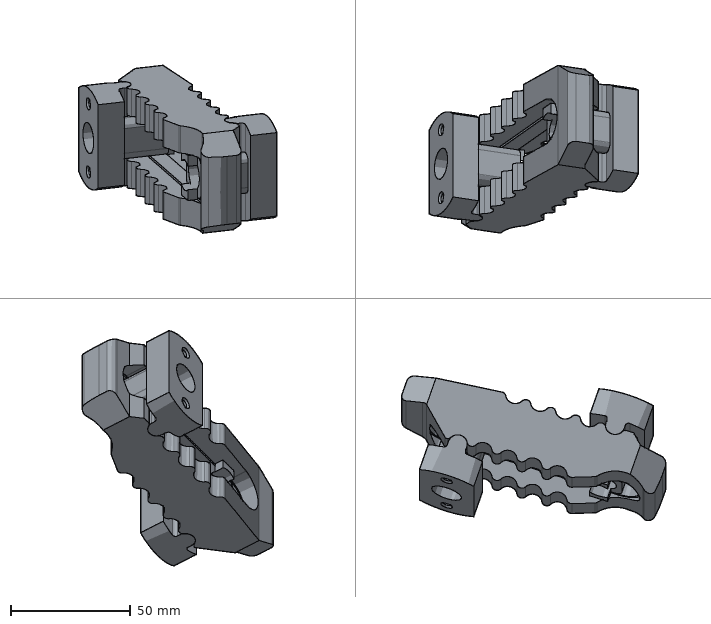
import cadquery as cq
import math

LENGTH = 115.0
HEIGHT = 44.0
DEPTH = 58.0
END = LENGTH / 2
HALF_HEIGHT = HEIGHT / 2

VALLEY_COUNT = 5
VALLEY_SPAN = 44.0
PITCH = VALLEY_SPAN / (VALLEY_COUNT - 1)
CREST_Y = 13.6
VALLEY_Y = 10.2
VALLEY_RADIUS = 4.0
WAVE_HEIGHT = CREST_Y - VALLEY_Y
RADIUS_SUM = ((PITCH / 2) ** 2 + WAVE_HEIGHT ** 2) / (2 * WAVE_HEIGHT)
CREST_RADIUS = RADIUS_SUM - VALLEY_RADIUS

FRONT_CLAMP_X = -27.6
BACK_CLAMP_X = 32.5

SHOULDER = 12.1
TAIL_BACK_Y = 10.8
TAIL_FRONT_Y = -0.9
TAIL_CORNER_RADIUS = 2.8
TAIL_NECK_X = -46.2
TAIL_NECK_RADIUS = 3.0
FRONT_SLOPE_RADIUS = 1.2

NOSE_BACK_Y = 9.2
NOSE_BACK_RADIUS = 3.0
BACK_SLOPE = CREST_Y - NOSE_BACK_Y
BACK_SLOPE_END_X = 45.4
NOSE_SIDE_Y = 2.3
NOSE_SIDE_RADIUS = 57.5
HOLLOW_X = 43.5
HOLLOW_TOP_Y = -4.4
HOLLOW_RADIUS = 14.1
HOLLOW_EDGE_RADIUS = 1.8
HOLLOW_START_X = 32.2
HOLLOW_END_X = 52.0
NOSE_TIP_X = 56.1
NOSE_TIP_RADIUS = 2.6

BEVEL_ANGLE = 30.0
BEVEL_DROP = SHOULDER * math.tan(math.radians(BEVEL_ANGLE))

SLOT_LEFT_X = -34.6
SLOT_RIGHT_X = 40.1
RECESS_WIDTH = 19.9
LEDGE_GAP = 17.8
LEDGE_Y = 3.7

BLOCK_WIDTH = 24.0
BLOCK_THICKNESS = 11.7
BLOCK_OUTER_Y = DEPTH / 2
BLOCK_INNER_Y = BLOCK_OUTER_Y - BLOCK_THICKNESS
STEM_SIZE = LEDGE_GAP
STEM_CORNER_RADIUS = 3.5
TONGUE_WIDTH = 2 * VALLEY_RADIUS
TONGUE_ROOT_RADIUS = 1.5
KEY_THICKNESS = 4.1
BORE_DIAMETER = 13.1
SCREW_OFFSET = 15.1
SCREW_DIAMETER = 3.5
SCREW_MOUTH_DIAMETER = 5.1
SCREW_DEPTH = 10.4
DRILL_POINT_ANGLE = 118.0


def crest_tangent(x, y, crest_x, side):
    """Point where the line from (x, y) touches the crest at crest_x, on the side (+1 or -1) of the arm."""
    center_y = side * (CREST_Y - CREST_RADIUS)
    distance = math.hypot(x - crest_x, y - center_y)
    spread = math.acos(CREST_RADIUS / distance)
    turn = spread * side * math.copysign(1, crest_x - x)
    angle = math.atan2(y - center_y, x - crest_x) - turn
    return crest_x + CREST_RADIUS * math.cos(angle), center_y + CREST_RADIUS * math.sin(angle)


def add_wave(outline, first_valley_x, side, end_point):
    """Draw the valleys of one side clockwise (side +1 runs along +X, -1 along -X).

    The outline must stand on the crest before the first valley, and the last crest ends at end_point.
    """
    blend = side * PITCH / 2 * VALLEY_RADIUS / RADIUS_SUM
    blend_y = side * (VALLEY_Y + WAVE_HEIGHT * VALLEY_RADIUS / RADIUS_SUM)
    for i in range(VALLEY_COUNT):
        x = first_valley_x + side * PITCH * i
        outline = (
            outline
            .radiusArc((x - blend, blend_y), CREST_RADIUS)
            .radiusArc((x + blend, blend_y), -VALLEY_RADIUS)
        )
    return outline.radiusArc(end_point, CREST_RADIUS)


def round_corner(body, x, y, radius):
    """Round the one edge along Z that stands at (x, y)."""
    reach = 0.1
    at_corner = cq.selectors.BoxSelector((x - reach, y - reach, -reach), (x + reach, y + reach, reach))
    return body.edges("|Z").edges(at_corner).fillet(radius)


def hollow_y(x):
    """Y of the round hollow at a given X."""
    return HOLLOW_TOP_Y - HOLLOW_RADIUS + math.sqrt(HOLLOW_RADIUS ** 2 - (x - HOLLOW_X) ** 2)


def arm_blank():
    """Arm outline, clockwise from the left tail, extruded to full height with its corners rounded."""
    back_first_valley = BACK_CLAMP_X - VALLEY_SPAN
    front_first_valley = FRONT_CLAMP_X + VALLEY_SPAN
    hollow_end_y = hollow_y(HOLLOW_END_X)
    hollow_end_slope = (HOLLOW_END_X - HOLLOW_X) / (hollow_end_y - HOLLOW_TOP_Y + HOLLOW_RADIUS)
    nose_tip_y = hollow_end_y - hollow_end_slope * (NOSE_TIP_X - HOLLOW_END_X)

    back_start = crest_tangent(-END + SHOULDER, TAIL_BACK_Y, back_first_valley - PITCH / 2, 1)
    back_end = (BACK_CLAMP_X + PITCH / 2, CREST_Y)
    hollow_start = (HOLLOW_START_X, hollow_y(HOLLOW_START_X))
    front_start = crest_tangent(*hollow_start, front_first_valley + PITCH / 2, -1)
    front_end = (FRONT_CLAMP_X - PITCH / 2, -CREST_Y)

    outline = (
        cq.Workplane("XY").workplane(offset=-HALF_HEIGHT)
        .moveTo(-END, TAIL_FRONT_Y)
        .lineTo(-END, TAIL_BACK_Y)
        .lineTo(-END + SHOULDER, TAIL_BACK_Y)
        .lineTo(*back_start)
    )
    outline = add_wave(outline, back_first_valley, 1, back_end)
    outline = (
        outline
        .lineTo(BACK_SLOPE_END_X - BACK_SLOPE, CREST_Y)
        .lineTo(BACK_SLOPE_END_X, NOSE_BACK_Y)
        .lineTo(END, NOSE_BACK_Y)
        .lineTo(END, NOSE_SIDE_Y)
        .radiusArc((NOSE_TIP_X, nose_tip_y), NOSE_SIDE_RADIUS)
        .lineTo(HOLLOW_END_X, hollow_end_y)
        .threePointArc((HOLLOW_X, HOLLOW_TOP_Y), hollow_start)
        .lineTo(*front_start)
    )
    outline = add_wave(outline, front_first_valley, -1, front_end)
    blank = outline.lineTo(TAIL_NECK_X, TAIL_FRONT_Y).close().extrude(HEIGHT)

    blank = round_corner(blank, -END, TAIL_FRONT_Y, TAIL_CORNER_RADIUS)
    blank = round_corner(blank, -END, TAIL_BACK_Y, TAIL_CORNER_RADIUS)
    blank = round_corner(blank, TAIL_NECK_X, TAIL_FRONT_Y, TAIL_NECK_RADIUS)
    blank = round_corner(blank, *front_end, FRONT_SLOPE_RADIUS)
    blank = round_corner(blank, END, NOSE_BACK_Y, NOSE_BACK_RADIUS)
    blank = round_corner(blank, *hollow_start, HOLLOW_EDGE_RADIUS)
    return round_corner(blank, NOSE_TIP_X, nose_tip_y, NOSE_TIP_RADIUS)


def bevelled_envelope():
    """Octagon in XZ that bevels the four end corners of the arm."""
    inner_x = END - SHOULDER
    end_z = HALF_HEIGHT - BEVEL_DROP
    return (
        cq.Workplane("XZ")
        .polyline([
            (-END, -end_z), (-END, end_z), (-inner_x, HALF_HEIGHT), (inner_x, HALF_HEIGHT),
            (END, end_z), (END, -end_z), (inner_x, -HALF_HEIGHT), (-inner_x, -HALF_HEIGHT),
        ])
        .close().extrude(DEPTH / 2, both=True)
    )


def slot_cutter(width, start_y, end_y):
    """Slot whose round ends keep the same centres for every width."""
    spacing = SLOT_RIGHT_X - SLOT_LEFT_X
    return (
        cq.Workplane("XZ", origin=((SLOT_LEFT_X + SLOT_RIGHT_X) / 2, start_y, 0))
        .slot2D(spacing + width, width)
        .extrude(start_y - end_y)
    )


def make_arm():
    arm = arm_blank().intersect(bevelled_envelope())
    arm = arm.cut(slot_cutter(LEDGE_GAP, DEPTH / 2, -DEPTH / 2))
    arm = arm.cut(slot_cutter(RECESS_WIDTH, DEPTH / 2, LEDGE_Y))
    return arm.cut(slot_cutter(RECESS_WIDTH, -LEDGE_Y, -DEPTH / 2))


def clamp_box(width, height, start_y, end_y):
    return cq.Workplane("XZ", origin=(0, end_y, 0)).rect(width, height).extrude(end_y - start_y)


def tongue_and_block():
    """Block with its tongue, rounded above and below by one cylinder along Y."""
    half_block = BLOCK_WIDTH / 2
    half_tongue = TONGUE_WIDTH / 2
    profile = (
        cq.Workplane("XY").workplane(offset=-HALF_HEIGHT)
        .moveTo(-half_block, BLOCK_OUTER_Y)
        .lineTo(-half_block, BLOCK_INNER_Y)
        .lineTo(-half_tongue - TONGUE_ROOT_RADIUS, BLOCK_INNER_Y)
        .radiusArc((-half_tongue, BLOCK_INNER_Y - TONGUE_ROOT_RADIUS), TONGUE_ROOT_RADIUS)
        .lineTo(-half_tongue, VALLEY_Y + VALLEY_RADIUS)
        .threePointArc((0, VALLEY_Y), (half_tongue, VALLEY_Y + VALLEY_RADIUS))
        .lineTo(half_tongue, BLOCK_INNER_Y - TONGUE_ROOT_RADIUS)
        .radiusArc((half_tongue + TONGUE_ROOT_RADIUS, BLOCK_INNER_Y), TONGUE_ROOT_RADIUS)
        .lineTo(half_block, BLOCK_INNER_Y)
        .lineTo(half_block, BLOCK_OUTER_Y)
        .close().extrude(HEIGHT)
    )
    rounding = cq.Workplane("XZ").circle(HALF_HEIGHT).extrude(-BLOCK_OUTER_Y)
    return profile.intersect(rounding)


def screw_hole(z):
    """Blind countersunk hole with a drill point, sunk from the outer face of the block."""
    radius = SCREW_DIAMETER / 2
    mouth_radius = SCREW_MOUTH_DIAMETER / 2
    point_length = radius / math.tan(math.radians(DRILL_POINT_ANGLE / 2))
    bottom_y = BLOCK_OUTER_Y - SCREW_DEPTH
    return (
        cq.Workplane("XY")
        .polyline([
            (0, BLOCK_OUTER_Y), (mouth_radius, BLOCK_OUTER_Y),
            (radius, BLOCK_OUTER_Y - (mouth_radius - radius)),
            (radius, bottom_y), (0, bottom_y - point_length),
        ])
        .close().revolve(360, (0, 0, 0), (0, 1, 0))
        .translate((0, 0, z))
    )


def make_clamp():
    """Clamp for the back of the arm, with its bore on the Y axis."""
    stem = clamp_box(STEM_SIZE, STEM_SIZE, -LEDGE_Y, BLOCK_INNER_Y)
    stem = stem.edges("|Y").fillet(STEM_CORNER_RADIUS)
    key = clamp_box(TONGUE_WIDTH, RECESS_WIDTH, -LEDGE_Y - KEY_THICKNESS, -LEDGE_Y)
    bore = cq.Workplane("XZ").circle(BORE_DIAMETER / 2).extrude(DEPTH / 2, both=True)
    clamp = tongue_and_block().union(stem).union(key).cut(bore)
    for z in (-SCREW_OFFSET, SCREW_OFFSET):
        clamp = clamp.cut(screw_hole(z))
    return clamp


arm = make_arm()

clamps = []
for clamp_x, turn in ((BACK_CLAMP_X, 0), (FRONT_CLAMP_X, 180)):
    clamp = make_clamp().rotate((0, 0, 0), (0, 0, 1), turn).translate((clamp_x, 0, 0))
    clamps.append(clamp.solids().val())

result = cq.Compound.makeCompound([arm.solids().val(), *clamps])